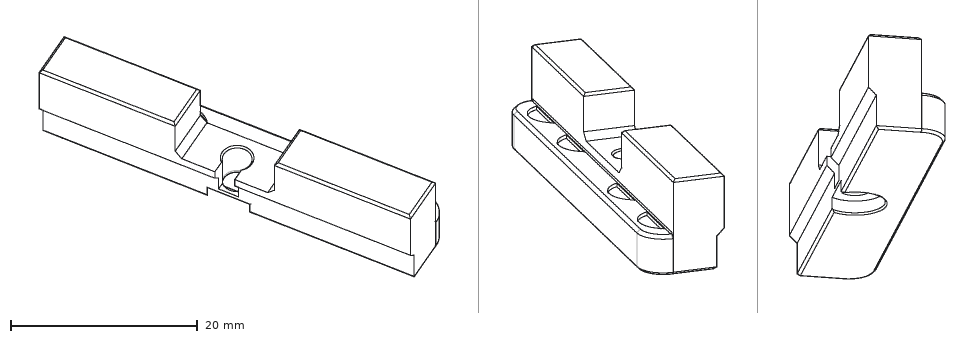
import cadquery as cq

length = 45.0
bar_length = 44.96
depth = 8.9
height = 10.84

bar_depth = 5.8
front_relief = 0.85
relief_top = 3.8
edge_chamfer = 0.3

ledge_height = 4.54
ledge_corner_radius = 3.0
ledge_top_chamfer = 0.4
ledge_bevel = 0.15

saddle_width = 12.0
saddle_floor = 5.7
saddle_corner_chamfer = 0.8

hole_diameter = 3.2
hole_y = 2.85
rim_chamfer = 0.2
slot_width = 2.4
head_diameter = 6.5
head_depth = 1.55
bridge_top = 2.05
hole_floor = 1.85
bridge_back = hole_y - slot_width / 2

recess_diameter = 6.0
recess_depth = 0.4
recess_y = 4.9
recess_front = 6.05
recess_inner_x = 8.0
recess_outer_x = 17.5


def box(x_size, y_min, y_max, z_min, z_max):
    """Box centred on X = 0 between the given Y and Z limits."""
    block = cq.Workplane("XY").box(x_size, y_max - y_min, z_max - z_min, centered=(True, False, False))
    return block.translate((0, y_min, z_min))


def cylinder(diameter, x, y, z_min, z_max):
    """Upright cylinder between the given Z limits."""
    return cq.Workplane("XY", origin=(x, y, z_min)).circle(diameter / 2).extrude(z_max - z_min)


def make_bar():
    """Bar whose lower front face is set back below a 45 degree slope."""
    profile = [
        (front_relief, 0),
        (bar_depth, 0),
        (bar_depth, height),
        (0, height),
        (0, relief_top + front_relief),
        (front_relief, relief_top),
    ]
    return cq.Workplane("YZ").polyline(profile).close().extrude(bar_length / 2, both=True)


def make_ledge():
    """Low ledge with rounded back corners, trimmed flush against the back of the bar."""
    ledge = box(length, front_relief, depth, 0, ledge_height)
    ledge = ledge.edges("|Z and >Y").fillet(ledge_corner_radius)
    ledge = ledge.faces(">Z").edges().chamfer(ledge_top_chamfer)
    ledge = ledge.faces("<Z").edges().chamfer(edge_chamfer)
    return ledge.intersect(box(length, bar_depth, depth, 0, ledge_height))


def cut_saddle(body):
    """Open the middle of the bar down to a floor with sloped corners."""
    half_width = saddle_width / 2
    half_floor = half_width - saddle_corner_chamfer
    profile = [
        (-half_floor, saddle_floor),
        (half_floor, saddle_floor),
        (half_width, saddle_floor + saddle_corner_chamfer),
        (half_width, height),
        (-half_width, height),
        (-half_width, saddle_floor + saddle_corner_chamfer),
    ]
    return body.cut(cq.Workplane("XZ").polyline(profile).close().extrude(-bar_depth))


def make_bevel():
    """Small sloped strip filling the corner between the ledge and the bar."""
    profile = [
        (bar_depth, ledge_height),
        (bar_depth + ledge_bevel, ledge_height),
        (bar_depth, ledge_height + ledge_bevel),
    ]
    return cq.Workplane("YZ").polyline(profile).close().extrude(bar_length / 2 - ledge_top_chamfer, both=True)


def make_rim(diameter, z, direction):
    """Conical rim at height z, narrowing to the hole diameter upward (1) or downward (-1)."""
    cone = cq.Workplane("XY", origin=(0, hole_y, z)).circle(diameter / 2 + rim_chamfer)
    return cone.workplane(offset=direction * rim_chamfer).circle(diameter / 2).loft()


def cut_screw_hole(body):
    """Front-open screw hole over a head pocket, with a thin bridge between them."""
    body = body.cut(cylinder(head_diameter, 0, hole_y, 0, head_depth))
    body = body.cut(cylinder(hole_diameter, 0, hole_y, hole_floor, saddle_floor))
    body = body.cut(box(slot_width, 0, hole_y, bridge_top, saddle_floor))
    through_bridge = cylinder(hole_diameter, 0, hole_y, head_depth, hole_floor)
    body = body.cut(through_bridge.intersect(box(hole_diameter, bridge_back, depth, 0, height)))
    body = body.cut(make_rim(hole_diameter, saddle_floor, -1))
    return body.cut(make_rim(head_diameter, 0, 1))


def cut_recesses(body):
    """Sink shallow disc segments, flat on the bar side, into the top of the ledge."""
    behind_front = box(length, recess_front, depth, 0, height)
    for x in (-recess_outer_x, -recess_inner_x, recess_inner_x, recess_outer_x):
        disc = cylinder(recess_diameter, x, recess_y, ledge_height - recess_depth, ledge_height)
        body = body.cut(disc.intersect(behind_front))
    return body


body = cut_saddle(make_bar())
body = body.faces(">Z").edges().chamfer(edge_chamfer)
body = body.faces("<Z").edges("not >Y").chamfer(edge_chamfer)
body = body.union(make_ledge()).union(make_bevel())
body = cut_screw_hole(body)
result = cut_recesses(body)